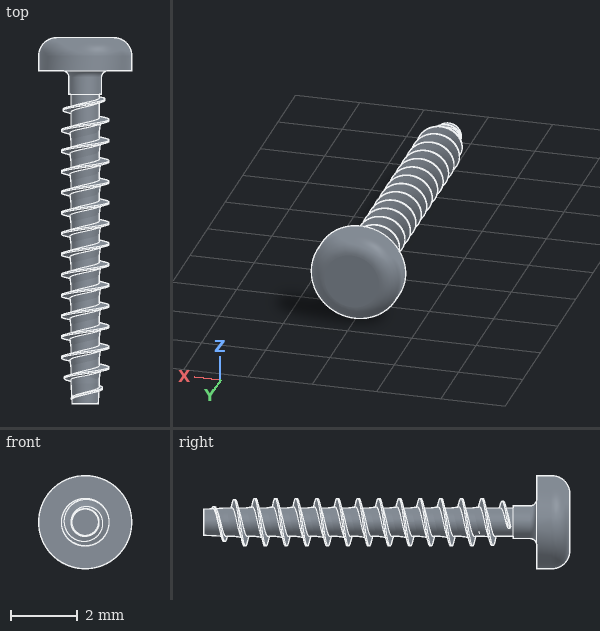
import cadquery as cq
import math

length = 11.0
head_diameter = 2.8
head_height = 1.0
head_round = 0.55
shank_radius = 0.5
shank_length = 0.7
neck_fillet = 0.2

core_radius = 0.43
tip_radius = 0.4
tip_taper_length = 0.6

crest_radius = 0.72
start_crest_radius = 0.56
end_crest_radius = 0.42
crest_width = 0.04
base_width = 0.16
base_radius = 0.46
buried_radius = 0.41
base_flare_length = 0.41
run_in_turns = 1.1
start_turn = 0.2
run_out_turns = 1.4
points_per_turn = 24

head_bottom = length - head_height
shank_end = head_bottom - shank_length
pitches_along_core = 15
pitch = shank_end / pitches_along_core
thread_turns = pitches_along_core - 0.25


def make_body():
    """Head, filleted neck, shank and core as one revolved outline."""
    head_radius = head_diameter / 2
    diagonal = math.sqrt(0.5)
    round_x = head_radius - head_round
    round_y = length - head_round
    fillet_x = shank_radius + neck_fillet
    fillet_y = head_bottom - neck_fillet
    return (
        cq.Workplane("XY")
        .lineTo(tip_radius, 0)
        .lineTo(core_radius, tip_taper_length)
        .lineTo(core_radius, shank_end)
        .lineTo(shank_radius, shank_end)
        .lineTo(shank_radius, fillet_y)
        .threePointArc(
            (fillet_x - neck_fillet * diagonal, fillet_y + neck_fillet * diagonal),
            (fillet_x, head_bottom),
        )
        .lineTo(head_radius, head_bottom)
        .lineTo(head_radius, round_y)
        .threePointArc(
            (round_x + head_round * diagonal, round_y + head_round * diagonal),
            (round_x, length),
        )
        .lineTo(0, length)
        .close()
        .revolve(360, (0, 0, 0), (0, 1, 0))
    )


def crest_radius_at(turn):
    """Crest radius, growing over the run-in and sinking into the core over the run-out."""
    run_in = min(1, turn / run_in_turns)
    run_out = min(1, (thread_turns - turn) / run_out_turns)
    start_radius = start_crest_radius + (crest_radius - start_crest_radius) * run_in
    end_radius = end_crest_radius + (crest_radius - end_crest_radius) * run_out
    return min(start_radius, end_radius)


def thread_point(turn, depth, toward_tip):
    """Point on the thread, given its depth below the crest and its shift toward the tip."""
    radius = crest_radius_at(turn) - depth
    angle = 2 * math.pi * turn
    y = shank_end - pitch * turn - toward_tip
    return cq.Vector(radius * math.sin(angle), y, -radius * math.cos(angle))


def make_thread():
    """Right-handed thread: a sharp rib with a shallow flare on its tip side."""
    base_depth = crest_radius - base_radius
    buried_depth = crest_radius - buried_radius
    flare_end = base_width / 2 + base_flare_length
    profile = [
        (buried_depth, -base_width / 2),
        (0, -crest_width / 2),
        (0, crest_width / 2),
        (base_depth, base_width / 2),
        (buried_depth, flare_end),
    ]
    turned = thread_turns - start_turn
    step_count = round(turned * points_per_turn)
    turns = [start_turn + turned * i / step_count for i in range(step_count + 1)]
    edges = [
        cq.Edge.makeSpline([thread_point(turn, *corner) for turn in turns])
        for corner in profile
    ]
    faces = [
        cq.Face.makeRuledSurface(edge, next_edge)
        for edge, next_edge in zip(edges, edges[1:] + edges[:1])
    ]
    for turn in (turns[0], turns[-1]):
        corners = [thread_point(turn, *corner) for corner in profile]
        faces.append(cq.Face.makeFromWires(cq.Wire.makePolygon(corners, close=True)))
    thread = cq.Solid.makeSolid(cq.Shell.makeShell(faces))
    beyond_tip = cq.Workplane("XZ").circle(head_diameter).extrude(length)
    return cq.Workplane(thread).cut(beyond_tip)


result = make_body().union(make_thread())